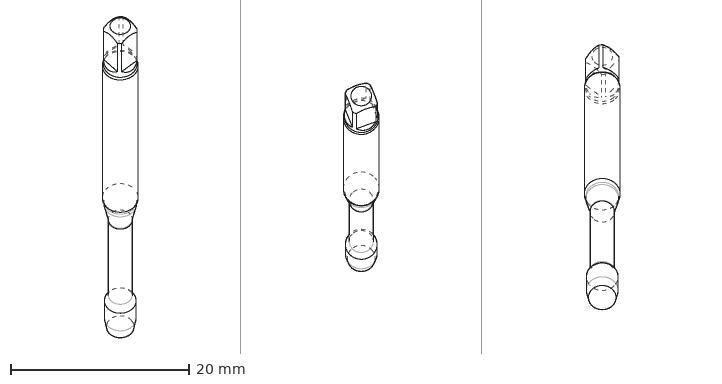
import cadquery as cq
import math

shank_diameter = 4.0
drive_diameter = 3.8
shoulder_diameter = 3.7
neck_diameter = 2.7
head_diameter = 3.55
lead_diameter = 3.1

overall_length = 57.55
flat_bottom = 51.55
collar_bottom = 50.55
shank_top = 50.2
shank_bottom = 25.55
shoulder_top = 25.0
shoulder_bottom = 24.45
taper_bottom = 21.7
neck_top = 21.5
neck_bottom = 7.55
head_top = 6.45
lead_top = 3.15

square_side = 3.0
drive_chamfer = 0.75

point_height = lead_diameter / 2


def add_stations(profile, stations):
    """Continue an outline with straight lines through (diameter, height) stations."""
    for diameter, height in stations:
        profile = profile.lineTo(diameter / 2, height)
    return profile


def revolve_profile(profile, top):
    """Close an outline on the axis at its top height and turn it around Z."""
    return profile.lineTo(0, top).close().revolve(360, (0, 0), (0, 1))


def flare_middle(slim_diameter, slim_height, wide_diameter, wide_height):
    """Middle point of a concave arc that leaves the slim end along the axis."""
    rise = slim_height - wide_height
    spread = abs(wide_diameter - slim_diameter) / 2
    arc_radius = (rise**2 + spread**2) / (2 * spread)
    half_angle = math.atan2(spread, abs(rise))
    radius = slim_diameter / 2 + arc_radius * (1 - math.cos(half_angle))
    height = slim_height - math.copysign(arc_radius * math.sin(half_angle), rise)
    return radius, height


def flat_relief():
    """Material removed for the +X drive flat, with a 45 degree run-out at its foot."""
    flat = square_side / 2
    outside = shank_diameter
    runout = outside - flat
    return (
        cq.Workplane("XZ")
        .polyline([
            (flat, overall_length),
            (flat, flat_bottom),
            (outside, flat_bottom - runout),
            (outside, overall_length),
        ])
        .close()
        .extrude(shank_diameter, both=True)
    )


def make_shank():
    """Shank with a square drive on top and a taper towards the neck below."""
    profile = cq.Workplane("XZ").moveTo(0, neck_top)
    profile = add_stations(profile, [
        (neck_diameter, neck_top),
        (neck_diameter, taper_bottom),
        (shoulder_diameter, shoulder_bottom),
        (shoulder_diameter, shoulder_top),
    ])
    profile = profile.threePointArc(
        flare_middle(shoulder_diameter, shoulder_top, shank_diameter, shank_bottom),
        (shank_diameter / 2, shank_bottom),
    )
    profile = add_stations(profile, [
        (shank_diameter, shank_top),
        (drive_diameter, collar_bottom),
        (drive_diameter, overall_length - drive_chamfer),
        (drive_diameter - 2 * drive_chamfer, overall_length),
    ])
    body = revolve_profile(profile, overall_length)
    drive_end = (
        cq.Workplane("XY", origin=(0, 0, collar_bottom))
        .circle(shank_diameter)
        .extrude(overall_length - collar_bottom)
    )
    relief = flat_relief().intersect(drive_end)
    for angle in (0, 90, 180, 270):
        body = body.cut(relief.rotate((0, 0, 0), (0, 0, 1), angle))
    return body


def make_cutter():
    """Slim neck with a head that has a flared shoulder, a tapered lead and a point."""
    profile = cq.Workplane("XZ").moveTo(0, 0)
    profile = add_stations(profile, [
        (lead_diameter, point_height),
        (head_diameter, lead_top),
        (head_diameter, head_top),
    ])
    profile = profile.threePointArc(
        flare_middle(neck_diameter, neck_bottom, head_diameter, head_top),
        (neck_diameter / 2, neck_bottom),
    )
    profile = profile.lineTo(neck_diameter / 2, neck_top)
    return revolve_profile(profile, neck_top)


shank = make_shank()
cutter = make_cutter()

result = cq.Compound.makeCompound([shank.val(), cutter.val()])